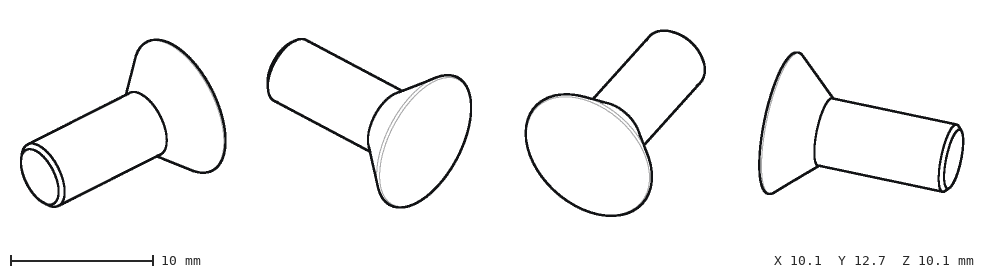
import cadquery as cq
import math

overall_length = 12.7
sharp_head_diameter = 10.42
countersink_angle = 82
rim_fillet_radius = 0.12
shank_diameter = 4.826
tip_chamfer = 0.3

sharp_head_radius = sharp_head_diameter / 2
shank_radius = shank_diameter / 2
cone_half_angle = math.radians(countersink_angle / 2)
head_height = (sharp_head_radius - shank_radius) / math.tan(cone_half_angle)

head_face_y = 0
head_bottom_y = head_face_y - head_height
tip_y = head_face_y - overall_length


def make_head():
    """Solid cone from the shank out to the flat face, with its rim rounded."""
    cone_profile = (
        cq.Workplane("XY")
        .moveTo(0, head_bottom_y)
        .lineTo(shank_radius, head_bottom_y)
        .lineTo(sharp_head_radius, head_face_y)
        .lineTo(0, head_face_y)
        .close()
    )
    cone = cone_profile.revolve(360, (0, 0, 0), (0, 1, 0))
    return cone.faces(">Y").edges().fillet(rim_fillet_radius)


def make_shank():
    """Plain cylinder from the head to the tip, chamfered at the tip."""
    shank_length = head_bottom_y - tip_y
    shank = (
        cq.Workplane("XZ", origin=(0, head_bottom_y, 0))
        .circle(shank_radius)
        .extrude(shank_length)
    )
    return shank.faces("<Y").chamfer(tip_chamfer)


result = make_head().union(make_shank())